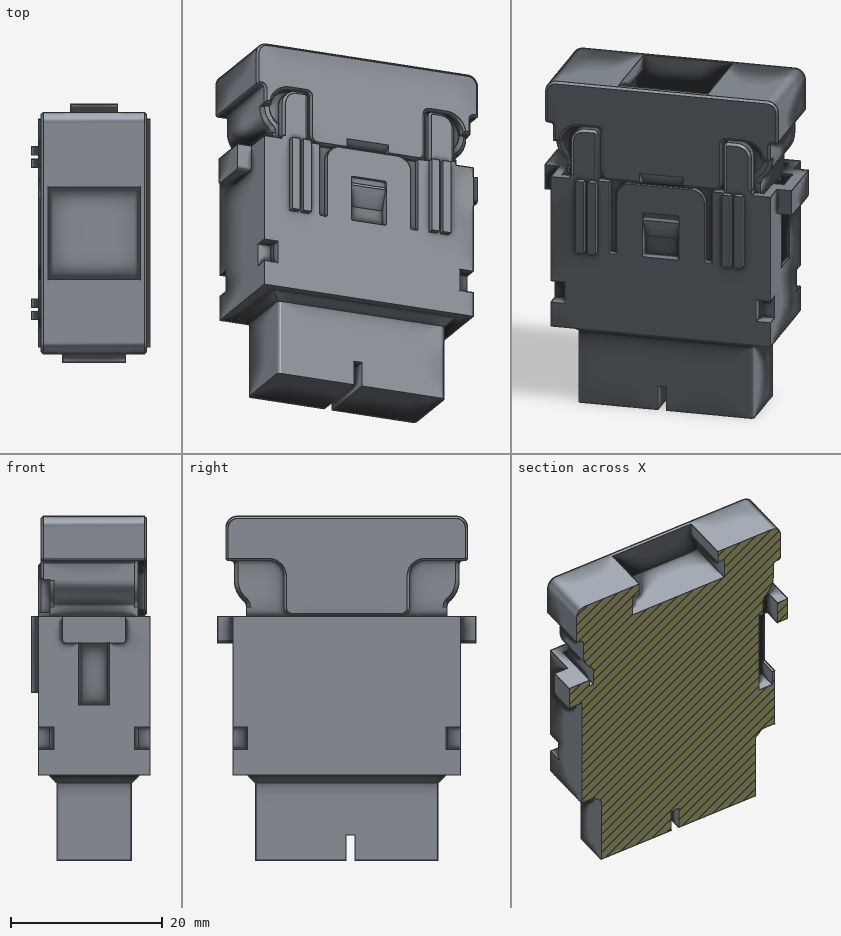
import cadquery as cq
import math

PLUG_BOTTOM = -11.2
HOUSING_TOP = 20.9
CAP_TOP = 34.1

HOUSING_HALF_X = 7.35
HOUSING_HALF_Y = 15.0
RIM_WALL = 1.2
RIM_DEPTH = 1.0

PLUG_X = 9.8
PLUG_Y = 24.0
PLUG_CORNER = 0.5
FLARE = 1.05
KEY_SLOT_Y = 0.5
KEY_SLOT_WIDTH = 1.15
KEY_SLOT_HEIGHT = 3.3

NOTCH_BOTTOM = 3.35
NOTCH_HEIGHT = 3.0
NOTCH_WIDE = (2.05, 1.75)
NOTCH_DEEP = (1.5, 1.95)

FACE_DETAIL_BOTTOM = 10.9
RIB_PROUD = 0.9
RIB_WIDTH = 1.1
RIB_CENTRES = (9.2, 10.83)
PANEL_HALF_Y = 5.97
PANEL_CORNER = 1.8
PANEL_RIM = 0.5
SLOT_WIDTH = 1.1
SLOT_DEPTH = 0.9
SLOT_BOTTOM_RADIUS = 0.3
WINDOW_HALF_Y = 2.5
WINDOW_TOP = 17.1
WINDOW_DEPTH = 1.4
WINDOW_CORNER = 0.3
LATCH_SETBACK = 0.2
LATCH_UPPER_SETBACK = 0.45
LATCH_SHOULDER = 16.35
LATCH_NOSE = 15.95
LATCH_BOTTOM = 13.4

CLIP_REACH = 2.0
CLIP_HEIGHT = 3.5
CLIP_CORNER = 0.45
FRONT_CLIP_WIDTH = 8.3
BACK_CLIP_WIDTH = 6.2
WELL_BOTTOM = 9.25
WELL_HALF_X = 2.05
WELL_DEPTH = 1.8
WELL_INTO_CLIP = 0.4
INNER_WELL_HALF_X = 1.75
INNER_WELL_DEPTH = 2.4
WELL_SILL = 0.4
WELL_SUMP = 2.2

CAP_FRONT_X = -7.0
CAP_BACK_X = 6.9
CAP_HALF_Y = 15.9
CAP_CORNER = 1.5
CAP_EDGE = 0.3
LEDGE_Z = 28.25
LEDGE_RADIUS = 0.35
WAIST_RADIUS = 0.5
WAIST_HALF_Y = 14.8
CHEEK_BOTTOM = 21.0
CHEEK_HALF_Y = 8.25
CHEEK_BOTTOM_RADIUS = 1.0
CHEEK_SKIRT_Z = 25.75
ARCH_TOP = 28.15
ARCH_RADIUS = 2.6
ARCH_INNER_RADIUS = 0.6
BACK_CHEEK_RADIUS = 2.1
RELIEF_WIDTH = 6.0
RELIEF_INNER_WIDTH = 5.3
RELIEF_HEIGHT = 1.4
RELIEF_INNER_HEIGHT = 0.1
RELIEF_DEPTH = 0.9

BARREL_HALF_X = 5.8
BARREL_RADIUS = 3.6
BARREL_Z = 25.65
BARREL_CHAMFER = 0.5
NECK_HALF_Y = 13.2
NECK_FILLET = 1.0
PIVOT_RADIUS = 2.4
PIVOT_RECESS = 0.2

POCKET_SIDE = 12.2
POCKET_LIP = 1.9
POCKET_DEPTH = 4.9
POCKET_UNDERCUT = 1.0

FINGER_INNER_Y = 8.65
FINGER_OUTER_Y = 12.3
FINGER_TOP = 27.9
FINGER_OUTER_RADIUS = 1.9
FINGER_INNER_RADIUS = 0.5
FINGER_EDGE = 0.35
FOOT_WIDTH = 0.25
FOOT_HEIGHT = 0.5


def block(x0, x1, y0, y1, z0, z1):
    """Box given by its limits along each axis."""
    return cq.Workplane("XY").box(x1 - x0, y1 - y0, z1 - z0, centered=False).translate((x0, y0, z0))


def mirrored(shape, plane="XZ"):
    """The shape joined with its mirror image."""
    return shape.union(shape.mirror(plane))


def extrude_x(outline, x0, x1):
    """Extrude a closed outline drawn in the YZ plane from x0 to x1."""
    return outline.extrude(x1 - x0).translate((x0, 0, 0))


def make_plug():
    """Plug with rounded corners, flared where it joins the housing and slotted at its end."""
    plug = block(-PLUG_X / 2, PLUG_X / 2, -PLUG_Y / 2, PLUG_Y / 2, PLUG_BOTTOM, 0)
    plug = plug.edges("|Z").fillet(PLUG_CORNER)
    flare = (
        cq.Workplane("XY")
        .rect(PLUG_X + 2 * FLARE, PLUG_Y + 2 * FLARE)
        .workplane(offset=-FLARE)
        .rect(PLUG_X, PLUG_Y)
        .loft()
    )
    key_slot = block(
        -PLUG_X,
        PLUG_X,
        KEY_SLOT_Y - KEY_SLOT_WIDTH / 2,
        KEY_SLOT_Y + KEY_SLOT_WIDTH / 2,
        PLUG_BOTTOM,
        PLUG_BOTTOM + KEY_SLOT_HEIGHT,
    )
    return plug.union(flare).cut(key_slot)


def corner_notches():
    """Stepped notches in the four upright corners of the housing."""
    notch_top = NOTCH_BOTTOM + NOTCH_HEIGHT
    notch = None
    for depth_x, depth_y in (NOTCH_WIDE, NOTCH_DEEP):
        step = block(
            -HOUSING_HALF_X,
            depth_x - HOUSING_HALF_X,
            -HOUSING_HALF_Y,
            depth_y - HOUSING_HALF_Y,
            NOTCH_BOTTOM,
            notch_top,
        )
        notch = step if notch is None else notch.union(step)
    return mirrored(mirrored(notch, "XZ"), "YZ")


def panel_slots():
    """Slots that free the sides of the latch panel, flaring around its top corners."""
    slot_outer = PANEL_HALF_Y + SLOT_WIDTH
    face = -HOUSING_HALF_X
    slot = block(face, face + SLOT_DEPTH, PANEL_HALF_Y, slot_outer, FACE_DETAIL_BOTTOM, HOUSING_TOP)
    slot = slot.edges("|X and <Z").fillet(SLOT_BOTTOM_RADIUS)
    corner = (
        cq.Workplane("YZ")
        .moveTo(PANEL_HALF_Y, HOUSING_TOP - PANEL_CORNER)
        .radiusArc((PANEL_HALF_Y - PANEL_CORNER, HOUSING_TOP), -PANEL_CORNER)
        .lineTo(PANEL_HALF_Y, HOUSING_TOP)
        .close()
    )
    return mirrored(slot.union(extrude_x(corner, face, face + SLOT_DEPTH)))


def latch_window():
    """Window through the latch panel, less the wedge-shaped latch behind it."""
    face = -HOUSING_HALF_X
    back = face + WINDOW_DEPTH
    window = block(face, back, -WINDOW_HALF_Y, WINDOW_HALF_Y, FACE_DETAIL_BOTTOM, WINDOW_TOP)
    window = window.edges("|X").fillet(WINDOW_CORNER)
    latch = (
        cq.Workplane("XZ")
        .moveTo(face + LATCH_UPPER_SETBACK, WINDOW_TOP)
        .lineTo(face + LATCH_UPPER_SETBACK, LATCH_SHOULDER)
        .lineTo(face + LATCH_SETBACK, LATCH_NOSE)
        .lineTo(back, LATCH_BOTTOM)
        .lineTo(back, WINDOW_TOP)
        .close()
        .extrude(WINDOW_HALF_Y, both=True)
    )
    return window.cut(latch)


def grip_ribs():
    """Pairs of upright ribs on either side of the latch panel."""
    ribs = None
    for centre in RIB_CENTRES:
        rib = block(
            -HOUSING_HALF_X - RIB_PROUD,
            -HOUSING_HALF_X,
            centre - RIB_WIDTH / 2,
            centre + RIB_WIDTH / 2,
            FACE_DETAIL_BOTTOM,
            HOUSING_TOP,
        )
        ribs = rib if ribs is None else ribs.union(rib)
    return mirrored(ribs)


def end_clip(width, side):
    """Clip on the end face of the housing on the given side of Y (-1 or 1)."""
    near, far = sorted((side * HOUSING_HALF_Y, side * (HOUSING_HALF_Y + CLIP_REACH)))
    clip = block(-width / 2, width / 2, near, far, HOUSING_TOP - CLIP_HEIGHT, HOUSING_TOP)
    return clip.edges("|Y and <Z").fillet(CLIP_CORNER)


def clip_well():
    """Stepped well in the -Y face, open behind the clip and sunk below its sill."""
    face = -HOUSING_HALF_Y
    outer = block(
        -WELL_HALF_X, WELL_HALF_X, face - WELL_INTO_CLIP, face + WELL_DEPTH, WELL_BOTTOM, HOUSING_TOP
    )
    inner = block(
        -INNER_WELL_HALF_X, INNER_WELL_HALF_X, face, face + INNER_WELL_DEPTH, WELL_BOTTOM, HOUSING_TOP
    )
    well = outer.union(inner)
    sump = well.translate((0, 0, -WELL_SUMP))
    behind_sill = block(
        -WELL_HALF_X, WELL_HALF_X, face + WELL_SILL, face + INNER_WELL_DEPTH, 0, HOUSING_TOP
    )
    return well.union(sump.intersect(behind_sill))


def make_finger():
    """Finger with a rounded top, bevelled outer face and a sloped foot on its outer side."""
    finger = block(
        -HOUSING_HALF_X,
        -BARREL_HALF_X,
        FINGER_INNER_Y,
        FINGER_OUTER_Y,
        HOUSING_TOP - RIM_DEPTH,
        FINGER_TOP,
    )
    finger = finger.edges("|X and >Z and >Y").fillet(FINGER_OUTER_RADIUS)
    finger = finger.edges("|X and >Z and <Y").fillet(FINGER_INNER_RADIUS)
    finger = finger.faces("<X").edges("not <Z").chamfer(FINGER_EDGE)
    foot = (
        cq.Workplane("YZ")
        .moveTo(FINGER_OUTER_Y - FINGER_EDGE, HOUSING_TOP)
        .lineTo(FINGER_OUTER_Y + FOOT_WIDTH, HOUSING_TOP)
        .lineTo(FINGER_OUTER_Y, HOUSING_TOP + FOOT_HEIGHT)
        .lineTo(FINGER_OUTER_Y - FINGER_EDGE, HOUSING_TOP + FOOT_HEIGHT)
        .close()
    )
    return finger.union(extrude_x(foot, -HOUSING_HALF_X, -BARREL_HALF_X))


def make_housing():
    """Housing block with its rim recess, notches, latch panel, ribs and end clips."""
    housing = block(
        -HOUSING_HALF_X, HOUSING_HALF_X, -HOUSING_HALF_Y, HOUSING_HALF_Y, 0, HOUSING_TOP
    )
    rim_x = HOUSING_HALF_X - RIM_WALL
    rim_y = HOUSING_HALF_Y - RIM_WALL
    rim_recess = block(-rim_x, rim_x, -rim_y, rim_y, HOUSING_TOP - RIM_DEPTH, HOUSING_TOP)
    behind_panel = block(
        PANEL_RIM - HOUSING_HALF_X,
        -rim_x,
        PANEL_CORNER - PANEL_HALF_Y,
        PANEL_HALF_Y - PANEL_CORNER,
        HOUSING_TOP - RIM_DEPTH,
        HOUSING_TOP,
    )
    housing = housing.cut(rim_recess).cut(behind_panel).cut(corner_notches())
    housing = housing.cut(panel_slots()).cut(latch_window())
    housing = housing.union(grip_ribs())
    housing = housing.union(end_clip(FRONT_CLIP_WIDTH, -1)).union(end_clip(BACK_CLIP_WIDTH, 1))
    return housing.cut(clip_well())


def cap_half(outline):
    """Start a half outline down the cap's rounded top corner to the ledge, on the +Y side."""
    return (
        outline.moveTo(0, CAP_TOP)
        .lineTo(CAP_HALF_Y - CAP_CORNER, CAP_TOP)
        .radiusArc((CAP_HALF_Y, CAP_TOP - CAP_CORNER), CAP_CORNER)
        .lineTo(CAP_HALF_Y, LEDGE_Z + LEDGE_RADIUS)
        .radiusArc((CAP_HALF_Y - LEDGE_RADIUS, LEDGE_Z), LEDGE_RADIUS)
    )


def waist_step(outline):
    """Run the outline in from the ledge to the waist of the cap."""
    return outline.lineTo(WAIST_HALF_Y + WAIST_RADIUS, LEDGE_Z).radiusArc(
        (WAIST_HALF_Y, LEDGE_Z - WAIST_RADIUS), -WAIST_RADIUS
    )


def cheek_end(outline):
    """Run the outline down the cheek's side and round its bottom corner to the middle."""
    return (
        outline.lineTo(CHEEK_HALF_Y, CHEEK_BOTTOM + CHEEK_BOTTOM_RADIUS)
        .radiusArc((CHEEK_HALF_Y - CHEEK_BOTTOM_RADIUS, CHEEK_BOTTOM), CHEEK_BOTTOM_RADIUS)
        .lineTo(0, CHEEK_BOTTOM)
    )


def front_cheek():
    """The -X side of the cap, arched over the two fingers."""
    arch_y = WAIST_HALF_Y - BARREL_RADIUS
    arch_z = ARCH_TOP - ARCH_RADIUS
    skirt_y = arch_y + math.sqrt(ARCH_RADIUS**2 - (CHEEK_SKIRT_Z - arch_z) ** 2)
    outline = waist_step(cap_half(cq.Workplane("YZ")))
    outline = (
        outline.lineTo(WAIST_HALF_Y, CHEEK_SKIRT_Z)
        .lineTo(skirt_y, CHEEK_SKIRT_Z)
        .radiusArc((arch_y, ARCH_TOP), -ARCH_RADIUS)
        .lineTo(CHEEK_HALF_Y + ARCH_INNER_RADIUS, ARCH_TOP)
        .radiusArc((CHEEK_HALF_Y, ARCH_TOP - ARCH_INNER_RADIUS), -ARCH_INNER_RADIUS)
    )
    outline = cheek_end(outline).mirrorY()
    cheek = extrude_x(outline, CAP_FRONT_X, BARREL_CHAMFER - BARREL_HALF_X)
    cheek = cheek.faces("<X").edges().chamfer(CAP_EDGE)
    relief = (
        cq.Workplane("YZ", origin=(CAP_FRONT_X, 0, CHEEK_BOTTOM))
        .rect(RELIEF_WIDTH, 2 * RELIEF_HEIGHT)
        .workplane(offset=RELIEF_DEPTH)
        .rect(RELIEF_INNER_WIDTH, RELIEF_INNER_HEIGHT)
        .loft()
    )
    return cheek.cut(relief)


def back_cheek():
    """The +X side of the cap, open beside its central cheek."""
    outline = cap_half(cq.Workplane("YZ"))
    outline = outline.lineTo(CHEEK_HALF_Y + BACK_CHEEK_RADIUS, LEDGE_Z).radiusArc(
        (CHEEK_HALF_Y, LEDGE_Z - BACK_CHEEK_RADIUS), -BACK_CHEEK_RADIUS
    )
    outline = cheek_end(outline).mirrorY()
    cheek = extrude_x(outline, BARREL_HALF_X - BARREL_CHAMFER, CAP_BACK_X)
    return cheek.faces(">X").edges().chamfer(CAP_EDGE)


def barrel_core():
    """Middle of the cap: waist, barrel with bevelled ends, and the neck into the housing."""
    barrel_y = WAIST_HALF_Y - BARREL_RADIUS
    blend_y = NECK_HALF_Y + NECK_FILLET
    centre_distance = BARREL_RADIUS + NECK_FILLET
    blend_z = BARREL_Z - math.sqrt(centre_distance**2 - (blend_y - barrel_y) ** 2)
    share = BARREL_RADIUS / centre_distance
    touch_y = barrel_y + share * (blend_y - barrel_y)
    touch_z = BARREL_Z + share * (blend_z - BARREL_Z)
    neck_bottom = HOUSING_TOP - RIM_DEPTH
    upper = waist_step(cap_half(cq.Workplane("YZ")))
    upper = upper.lineTo(WAIST_HALF_Y, BARREL_Z).lineTo(0, BARREL_Z).mirrorY()
    upper = extrude_x(upper, -BARREL_HALF_X, BARREL_HALF_X)
    upper = upper.faces(">X").edges("|Z").chamfer(BARREL_CHAMFER)
    lower = (
        cq.Workplane("YZ")
        .moveTo(0, BARREL_Z)
        .lineTo(WAIST_HALF_Y, BARREL_Z)
        .radiusArc((touch_y, touch_z), BARREL_RADIUS)
        .radiusArc((NECK_HALF_Y, blend_z), -NECK_FILLET)
        .lineTo(NECK_HALF_Y, neck_bottom)
        .lineTo(0, neck_bottom)
        .mirrorY()
    )
    lower = extrude_x(lower, -BARREL_HALF_X, BARREL_HALF_X)
    lower = lower.faces("<X or >X").edges("not (|Y or |Z)").chamfer(BARREL_CHAMFER)
    pivot = (
        cq.Workplane("YZ")
        .pushPoints([(-barrel_y, BARREL_Z), (barrel_y, BARREL_Z)])
        .circle(PIVOT_RADIUS)
    )
    pivot_recesses = extrude_x(pivot, -BARREL_HALF_X, PIVOT_RECESS - BARREL_HALF_X)
    neck = block(-BARREL_HALF_X, BARREL_HALF_X, -NECK_HALF_Y, NECK_HALF_Y, neck_bottom, blend_z)
    return upper.union(lower).cut(pivot_recesses).union(neck)


def cap_pocket():
    """Square pocket in the cap's top that widens along Y below its lip."""
    half = POCKET_SIDE / 2
    mouth = block(-half, half, -half, half, CAP_TOP - POCKET_DEPTH, CAP_TOP)
    wide = half + POCKET_UNDERCUT
    chamber = block(-half, half, -wide, wide, CAP_TOP - POCKET_DEPTH, CAP_TOP - POCKET_LIP)
    return mouth.union(chamber)


def make_cap():
    """Rocker cap with its two cheeks, barrel, neck and top pocket."""
    return barrel_core().union(front_cheek()).union(back_cheek()).cut(cap_pocket())


result = make_housing().union(make_plug()).union(mirrored(make_finger())).union(make_cap())